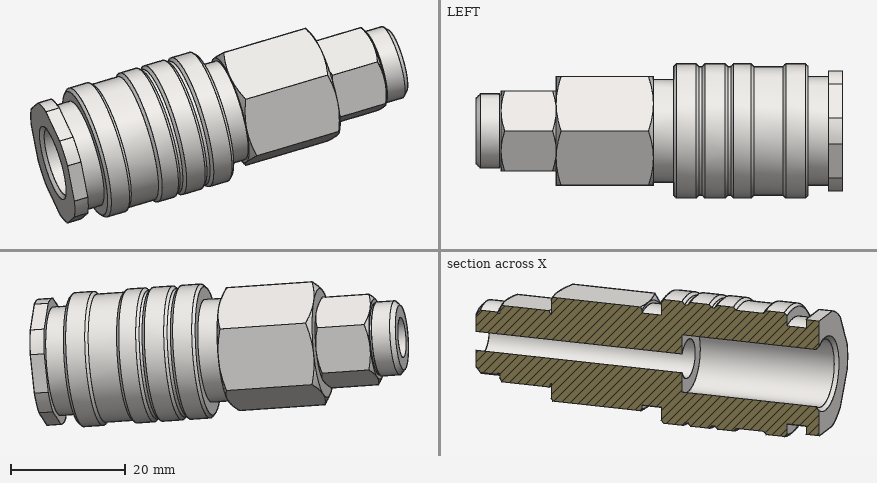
import cadquery as cq
import math


length = 64.0
collar_end = 2.5
rear_neck_end = 33.0
large_hex_end = 50.0
small_hex_end = 59.6
undercut_end = 59.9

collar_diameter = 22.1
collar_across_flats = 21.0

sleeve_diameter = 23.5
band_chamfer = 0.5
bands = [(6.0, 10.4), (15.5, 19.5), (20.0, 24.5), (25.1, 29.5)]
sleeve_start = bands[0][0]
sleeve_end = bands[-1][1]

front_neck_diameter = 19.0
rear_neck_diameter = 18.0
undercut_diameter = 12.6
tail_diameter = 13.0
tail_chamfer = 0.8

large_across_flats = 19.0
small_across_flats = 14.0
bevel_angle = 30.0
hex_sides = 6
corners_to_flats = 1 / math.cos(math.pi / hex_sides)

socket_diameter = 12.0
socket_depth = 25.6
socket_chamfer = 0.65
bore_diameter = 7.0


def cylinder(start, end, diameter):
    """Round bar along Y from start to end."""
    bar = cq.Workplane("XZ", origin=(0, start, 0)).circle(diameter / 2)
    return bar.extrude(start - end)


def hexagon(start, end, across_flats):
    """Hexagonal bar along Y with flats facing +Z and -Z."""
    across_corners = across_flats * corners_to_flats
    bar = cq.Workplane("XZ", origin=(0, start, 0)).polygon(hex_sides, across_corners)
    return bar.extrude(start - end)


def bevelled_hexagon(start, end, across_flats):
    """Hexagonal bar whose corners are turned off by a cone at each end."""
    flat_radius = across_flats / 2
    corner_radius = flat_radius * corners_to_flats
    bevel_depth = (corner_radius - flat_radius) * math.tan(math.radians(bevel_angle))
    envelope = (
        cq.Workplane("XY")
        .moveTo(0, start)
        .lineTo(flat_radius, start)
        .lineTo(corner_radius, start + bevel_depth)
        .lineTo(corner_radius, end - bevel_depth)
        .lineTo(flat_radius, end)
        .lineTo(0, end)
        .close()
        .revolve(360, (0, 0, 0), (0, 1, 0))
    )
    return hexagon(start, end, across_flats).intersect(envelope)


def collar():
    """Round collar cut by six wrench flats."""
    disc = cylinder(0, collar_end, collar_diameter)
    return disc.intersect(hexagon(0, collar_end, collar_across_flats))


def sleeve():
    """Grooved core carrying the chamfered raised bands."""
    body = cylinder(sleeve_start, sleeve_end, sleeve_diameter - 2 * band_chamfer)
    for start, end in bands:
        band = cylinder(start, end, sleeve_diameter)
        body = body.union(band.edges().chamfer(band_chamfer))
    return body


def tail():
    """Rear spigot, chamfered at its free end."""
    return cylinder(undercut_end, length, tail_diameter).faces(">Y").chamfer(tail_chamfer)


def bore():
    """Through bore opening into the chamfered socket."""
    socket = cylinder(0, socket_depth, socket_diameter)
    socket_radius = socket_diameter / 2
    inward = cq.Vector(0, 1, 0)
    mouth = cq.Workplane(
        cq.Solid.makeCone(
            socket_radius + socket_chamfer, socket_radius, socket_chamfer, cq.Vector(0, 0, 0), inward
        )
    )
    return cylinder(0, length, bore_diameter).union(socket).union(mouth)


result = (
    collar()
    .union(cylinder(collar_end, sleeve_start, front_neck_diameter))
    .union(sleeve())
    .union(cylinder(sleeve_end, rear_neck_end, rear_neck_diameter))
    .union(bevelled_hexagon(rear_neck_end, large_hex_end, large_across_flats))
    .union(bevelled_hexagon(large_hex_end, small_hex_end, small_across_flats))
    .union(cylinder(small_hex_end, undercut_end, undercut_diameter))
    .union(tail())
    .cut(bore())
)